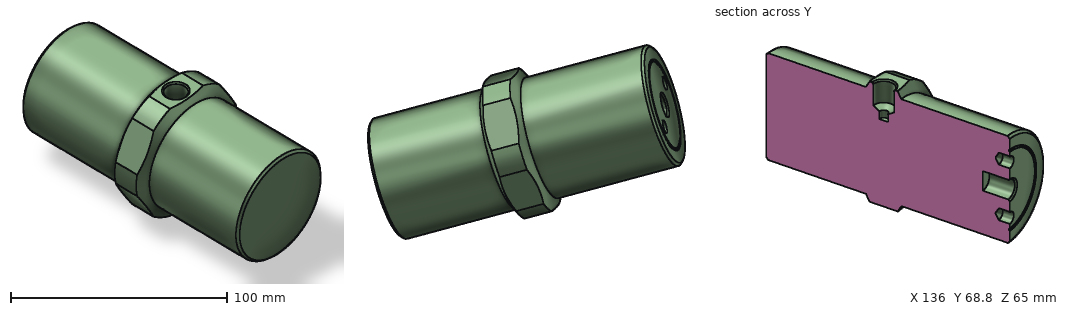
import cadquery as cq
import math

length = 136.0
body_diameter = 58.0
end_chamfer = 1.2
left_end = -length / 2

collar_offset = 2.5
collar_width = 20.0
across_flats = 65.0
corner_diameter = 68.8
collar_taper = 3.3
corner_angle = 90.0

port_diameter = 11.4
port_mouth_diameter = 12.9
port_depth = 12.2
port_bore_diameter = 4.6
port_bore_length = 4.1

seam_outer_diameter = 43.8
seam_inner_diameter = 41.3
end_hole_diameter = 10.3
end_hole_mouth_diameter = 12.0
end_hole_depth = 15.0
wrench_hole_diameter = 6.3
wrench_hole_depth = 6.1
wrench_hole_radius = 15.0

drill_point_angle = 118.0


def revolve_about_x(profile):
    """Solid of revolution about X from a list of (x, radius) points."""
    return cq.Workplane("XY").polyline(profile).close().revolve(360, (0, 0, 0), (1, 0, 0))


def hole_cutter(steps):
    """Round cutter running from the origin along +X, from (depth, diameter) steps ending on the axis."""
    return revolve_about_x([(0, 0)] + [(depth, diameter / 2) for depth, diameter in steps])


def drill_point_height(large_diameter, small_diameter=0.0):
    """Axial length of a drill cone narrowing between two diameters."""
    return (large_diameter - small_diameter) / 2 / math.tan(math.radians(drill_point_angle / 2))


def make_body():
    cylinder = cq.Workplane("YZ").circle(body_diameter / 2).extrude(length / 2, both=True)
    return cylinder.faces("<X or >X").chamfer(end_chamfer)


def make_collar():
    half_width = collar_width / 2
    rim_half_width = half_width - collar_taper
    tapered_disc = revolve_about_x([
        (-half_width, 0),
        (-half_width, body_diameter / 2),
        (-rim_half_width, corner_diameter / 2),
        (rim_half_width, corner_diameter / 2),
        (half_width, body_diameter / 2),
        (half_width, 0),
    ])
    hexagon = (
        cq.Workplane("YZ")
        .polygon(6, across_flats, circumscribed=True)
        .extrude(half_width, both=True)
        .rotate((0, 0, 0), (1, 0, 0), corner_angle)
    )
    return tapered_disc.intersect(hexagon).translate((collar_offset, 0, 0))


def make_port_cutter():
    """Countersunk port with a drill cone and a small bore at its bottom, pointing down."""
    mouth_depth = (port_mouth_diameter - port_diameter) / 2
    cone_end = port_depth + drill_point_height(port_diameter, port_bore_diameter)
    bore_end = cone_end + port_bore_length
    cutter = hole_cutter([
        (0, port_mouth_diameter),
        (mouth_depth, port_diameter),
        (port_depth, port_diameter),
        (cone_end, port_bore_diameter),
        (bore_end, port_bore_diameter),
        (bore_end, 0),
    ])
    return cutter.rotate((0, 0, 0), (0, 1, 0), 90).translate((collar_offset, 0, across_flats / 2))


def make_seam_cutter():
    """V-groove where the chamfers of the end cap and the housing meet."""
    outer_radius = seam_outer_diameter / 2
    inner_radius = seam_inner_diameter / 2
    groove_depth = (outer_radius - inner_radius) / 2
    return revolve_about_x([
        (left_end, inner_radius),
        (left_end, outer_radius),
        (left_end + groove_depth, (outer_radius + inner_radius) / 2),
    ])


def make_end_hole_cutter():
    """Flat-bottomed centre hole with a chamfered mouth."""
    mouth_depth = (end_hole_mouth_diameter - end_hole_diameter) / 2
    cutter = hole_cutter([
        (0, end_hole_mouth_diameter),
        (mouth_depth, end_hole_diameter),
        (end_hole_depth, end_hole_diameter),
        (end_hole_depth, 0),
    ])
    return cutter.translate((left_end, 0, 0))


def make_wrench_hole_cutter(z):
    """Blind drilled hole with a conical bottom, at height z on the left end face."""
    cutter = hole_cutter([
        (0, wrench_hole_diameter),
        (wrench_hole_depth, wrench_hole_diameter),
        (wrench_hole_depth + drill_point_height(wrench_hole_diameter), 0),
    ])
    return cutter.translate((left_end, 0, z))


result = make_body().union(make_collar())
result = result.cut(make_port_cutter())
result = result.cut(make_seam_cutter())
result = result.cut(make_end_hole_cutter())
for z in (-wrench_hole_radius, wrench_hole_radius):
    result = result.cut(make_wrench_hole_cutter(z))